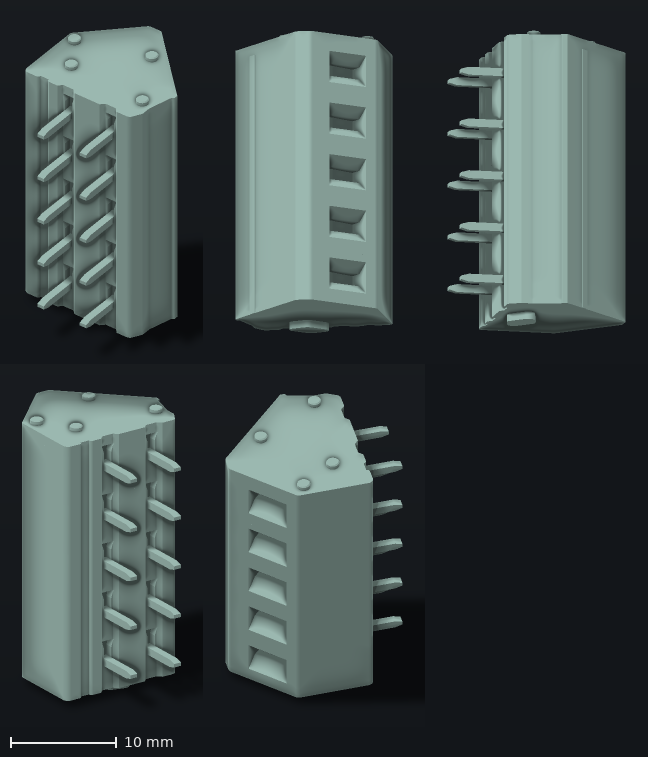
import cadquery as cq
import math


pole_count = 5
stack_height = 26.0
plate_thickness = 1.0
pole_pitch = (stack_height - plate_thickness) / pole_count

body_width = 14.1
body_height = 12.8
left_side_height = 7.48
corner_radius = 0.55
nose_top = 5.47
nose_bottom = 5.0
nose_underside = (13.85, 4.9)
heel_x = 13.16
heel_top = 2.28
heel_bottom = 1.22
base_right = 12.48

lip_groove_left = 1.52
lip_groove_right = 3.07
lip_radius = 0.3

pin_positions = (5.0, 10.0)
pin_groove_depth = 0.4
pin_groove_floor = 1.22
pin_groove_mouth = 2.0

pin_width = 0.75
pin_length = 4.0
pin_tip_length = 0.73
pin_tip_thickness = 0.35
contact_z = 2.8

slot_width = 0.82
slot_mouth = 1.35
slot_flare_length = 0.8
slot_depth = 0.82

entry_length = 4.15
entry_bottom_y = 8.35
entry_height = 3.02
entry_throat = 1.2
funnel_depth = 1.17
entry_depth = 1.95
entry_flat = 1.65
entry_ramp_drop = 0.4

rib_left = 11.7
rib_right = 12.3
rib_rise = 0.08

peg_positions = ((1.12, 6.6), (3.3, 3.18), (8.6, 8.8), (12.08, 2.65))
peg_radius = 0.63
peg_height = 0.5
peg_chamfer = 0.1

lug_center = (7.62, 2.45)
lug_side_angle = 45
lug_end_angle = -15
lug_width = 2.3
lug_length = 2.7
lug_radius = 0.63
lug_height = 0.7


def round_edges(body, corners, radius):
    """Round the upright edges nearest to the given XY corners of a body standing on Z = 0."""
    for x, y in corners:
        edge = body.edges("|Z").edges(cq.NearestToPointSelector((x, y, plate_thickness / 2)))
        body = edge.fillet(radius)
    return body


def outline_body(thickness):
    """Extrude the terminal-block outline upward from Z = 0."""
    top_left = (body_height - left_side_height, body_height)
    top_right = (body_width - (body_height - nose_top), body_height)
    left_shoulder = (0, left_side_height)
    base_left_corner = (0, 0)
    base_right_corner = (base_right, 0)
    lip_middle = lip_radius * math.sin(math.radians(45))

    outline = (
        cq.Workplane("XY")
        .moveTo(*base_left_corner)
        .lineTo(lip_groove_left, 0)
        .threePointArc(
            (lip_groove_left + lip_middle, lip_radius - lip_middle),
            (lip_groove_left + lip_radius, lip_radius),
        )
        .lineTo(lip_groove_right - lip_radius, lip_radius)
        .threePointArc(
            (lip_groove_right - lip_middle, lip_radius - lip_middle),
            (lip_groove_right, 0),
        )
    )
    for x in pin_positions:
        outline = (
            outline.lineTo(x - pin_groove_mouth / 2, 0)
            .lineTo(x - pin_groove_floor / 2, pin_groove_depth)
            .lineTo(x + pin_groove_floor / 2, pin_groove_depth)
            .lineTo(x + pin_groove_mouth / 2, 0)
        )
    body = (
        outline.lineTo(*base_right_corner)
        .lineTo(heel_x, heel_bottom)
        .lineTo(heel_x, heel_top)
        .lineTo(*nose_underside)
        .lineTo(body_width, nose_bottom)
        .lineTo(body_width, nose_top)
        .lineTo(*top_right)
        .lineTo(*top_left)
        .lineTo(*left_shoulder)
        .close()
        .extrude(thickness)
    )
    rounded = (base_left_corner, base_right_corner, top_right, top_left, left_shoulder)
    return round_edges(body, rounded, corner_radius)


def rear_rib():
    """Low rib along the 45 degree rear face, over the full pole height."""
    face_sum = body_width + nose_top
    shift = rib_rise * math.sin(math.radians(45))
    left_y = face_sum - rib_left
    right_y = face_sum - rib_right
    return (
        cq.Workplane("XY")
        .polyline([
            (rib_left - shift, left_y - shift),
            (rib_right - shift, right_y - shift),
            (rib_right + shift, right_y + shift),
            (rib_left + shift, left_y + shift),
        ])
        .close()
        .extrude(pole_pitch)
    )


def wire_entry():
    """Cutter for the wire entry: a funnel and a throat, square to the 45 degree face."""
    lower_edge = (entry_bottom_y - left_side_height, entry_bottom_y, contact_z)
    end_plane = cq.Plane(origin=lower_edge, xDir=(1, -1, 0), normal=(1, 1, 0))
    side_plane = cq.Plane(origin=lower_edge, xDir=(1, 1, 0), normal=(0, 0, -1))

    deepest = entry_depth + entry_ramp_drop
    funnel = (
        cq.Workplane(end_plane)
        .polyline([
            (0, -entry_height / 2),
            (0, entry_height / 2),
            (funnel_depth, entry_throat / 2),
            (deepest, entry_throat / 2),
            (deepest, -entry_throat / 2),
            (funnel_depth, -entry_throat / 2),
        ])
        .close()
        .extrude(entry_length)
    )

    floor = (
        cq.Workplane(side_plane)
        .polyline([
            (0, 0),
            (0, deepest),
            (entry_length - entry_flat, entry_depth),
            (entry_length, entry_depth),
            (entry_length, 0),
        ])
        .close()
        .extrude(entry_height, both=True)
    )
    return funnel.intersect(floor)


def pin_slot(x):
    """Cutter for the flared slot in the groove floor above a pin."""
    slot_bottom = contact_z - pin_width / 2
    flare_start = pole_pitch - slot_flare_length
    slot_top_y = pin_groove_depth + slot_depth
    return (
        cq.Workplane("XZ", origin=(x, slot_top_y, 0))
        .polyline([
            (-slot_width / 2, slot_bottom),
            (slot_width / 2, slot_bottom),
            (slot_width / 2, flare_start),
            (slot_mouth / 2, pole_pitch),
            (-slot_mouth / 2, pole_pitch),
            (-slot_width / 2, flare_start),
        ])
        .close()
        .extrude(slot_top_y)
    )


def solder_pin(x):
    """Square pin from the slot floor to its tapered tip."""
    root_y = pin_groove_depth + slot_depth
    taper_y = pin_tip_length - pin_length
    return (
        cq.Workplane("YZ", origin=(x, 0, contact_z))
        .polyline([
            (root_y, -pin_width / 2),
            (taper_y, -pin_width / 2),
            (-pin_length, -pin_tip_thickness / 2),
            (-pin_length, pin_tip_thickness / 2),
            (taper_y, pin_width / 2),
            (root_y, pin_width / 2),
        ])
        .close()
        .extrude(pin_width / 2, both=True)
    )


def coupling_lug():
    """Rounded parallelogram hanging below Z = 0."""
    corner_angle = math.radians(lug_side_angle - lug_end_angle)
    side_edge = lug_length / math.sin(corner_angle)
    end_edge = lug_width / math.sin(corner_angle)
    side_x = side_edge / 2 * math.cos(math.radians(lug_side_angle))
    side_y = side_edge / 2 * math.sin(math.radians(lug_side_angle))
    end_x = end_edge / 2 * math.cos(math.radians(lug_end_angle))
    end_y = end_edge / 2 * math.sin(math.radians(lug_end_angle))
    return (
        cq.Workplane("XY", origin=(*lug_center, 0))
        .polyline([
            (-side_x - end_x, -side_y - end_y),
            (-side_x + end_x, -side_y + end_y),
            (side_x + end_x, side_y + end_y),
            (side_x - end_x, side_y - end_y),
        ])
        .close()
        .extrude(-lug_height)
        .edges("|Z")
        .fillet(lug_radius)
    )


def pole():
    """One pole: housing with its wire entry and its two pins."""
    body = outline_body(pole_pitch).union(rear_rib()).cut(wire_entry())
    for x in pin_positions:
        body = body.cut(pin_slot(x)).union(solder_pin(x))
    return body


def end_plate():
    """Plate that closes the last pole, with its coupling pegs."""
    pegs = (
        cq.Workplane("XY", origin=(0, 0, plate_thickness))
        .pushPoints(peg_positions)
        .circle(peg_radius)
        .extrude(peg_height)
        .faces(">Z")
        .edges()
        .chamfer(peg_chamfer)
    )
    return outline_body(plate_thickness).union(pegs)


poles = []
for index in range(pole_count):
    pole_body = pole()
    if index == 0:
        pole_body = pole_body.union(coupling_lug())
    poles.append(pole_body.translate((0, 0, index * pole_pitch)).val())

plate = end_plate().translate((0, 0, pole_count * pole_pitch))

result = cq.Compound.makeCompound([*poles, plate.val()])